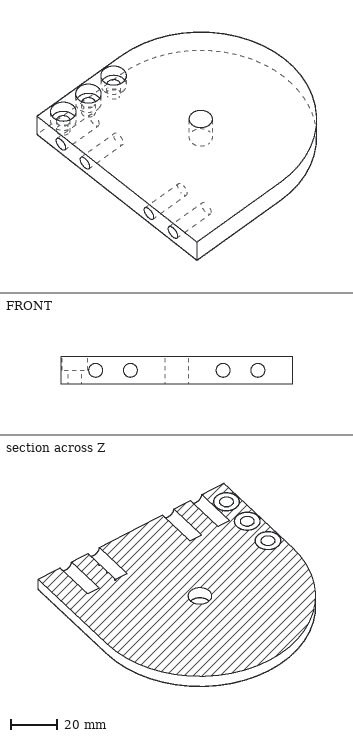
import cadquery as cq

width = 100.0
thickness = 12.0
radius = width / 2

bore_diameter = 10.0

mount_hole_diameter = 6.0
counterbore_diameter = 11.0
counterbore_depth = 6.0
mount_edge_distance = 6.0
mount_first_offset = 10.0
mount_pitch = 15.0
mount_count = 3

front_hole_diameter = 6.0
front_hole_depth = 20.0
front_hole_offsets = (20.0, 35.0)


def make_plate():
    """Extrude the D-shaped outline upwards from Z = 0."""
    return (
        cq.Workplane("XY")
        .moveTo(-radius, -radius)
        .lineTo(radius, -radius)
        .lineTo(radius, 0)
        .threePointArc((0, radius), (-radius, 0))
        .close()
        .extrude(thickness)
    )


def make_bore():
    """Cylinder for the central through bore."""
    return cq.Workplane("XY").circle(bore_diameter / 2).extrude(thickness)


def make_mount_holes():
    """Through holes with counterbores opening on the top face."""
    x = mount_edge_distance - radius
    points = [(x, -mount_first_offset - i * mount_pitch) for i in range(mount_count)]
    through = cq.Workplane("XY").pushPoints(points).circle(mount_hole_diameter / 2).extrude(thickness)
    counterbores = (
        cq.Workplane("XY", origin=(0, 0, thickness))
        .pushPoints(points)
        .circle(counterbore_diameter / 2)
        .extrude(-counterbore_depth)
    )
    return through.union(counterbores)


def make_front_holes():
    """Blind holes running in +Y from the front face at mid-thickness."""
    points = [(side * offset, 0) for side in (-1, 1) for offset in front_hole_offsets]
    return (
        cq.Workplane("XZ", origin=(0, -radius, thickness / 2))
        .pushPoints(points)
        .circle(front_hole_diameter / 2)
        .extrude(-front_hole_depth)
    )


result = make_plate().cut(make_bore()).cut(make_mount_holes()).cut(make_front_holes())